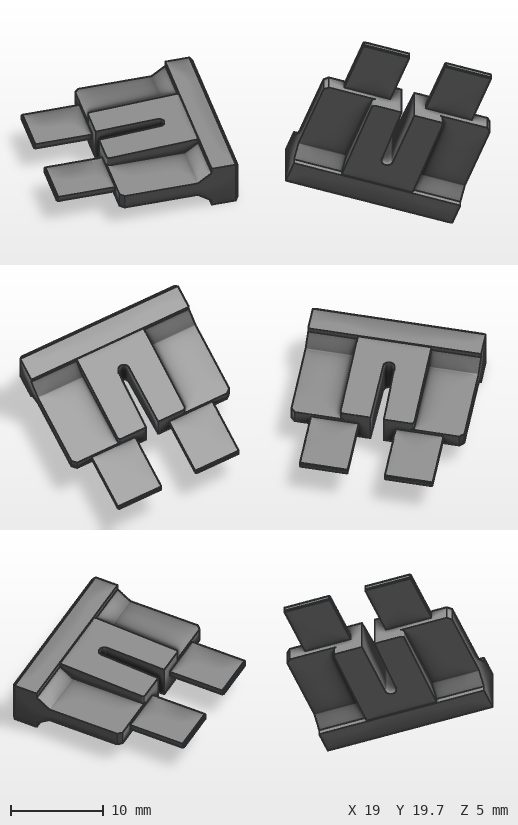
import cadquery as cq

width = 19.0
length = 19.7
thickness = 5.0

cap_front = 16.73
cap_chamfer = 0.3

body_front = 6.52
body_half_thickness = 0.8
ramp_length = 1.54
ramp_half_height = 1.9
ramp_fillet = 0.37
body_corner = 0.45

block_width = 8.08
block_half_back = 2.35
block_half_front = 1.83
block_corner = 0.32

slot_radius = 0.63
slot_half_front = 0.73
slot_end = 14.0

blade_width = 5.25
blade_thickness = 0.61
blade_spacing = 9.32
blade_offset_z = 0.12
tip_chamfer_length = 0.15
tip_chamfer_depth = 0.08
blade_embed = 0.98


def extrude_side_profile(points, profile_width):
    """Extrude a (Y, Z) outline along X, centred on X = 0."""
    return cq.Workplane("YZ").polyline(points).close().extrude(profile_width / 2, both=True)


def make_cap():
    depth = length - cap_front
    cap = cq.Workplane("XY").box(width, depth, thickness).translate((0, cap_front + depth / 2, 0))
    return cap.faces(">Y").chamfer(cap_chamfer)


def make_body():
    ramp_foot = cap_front - ramp_length
    body = extrude_side_profile(
        [
            (body_front, -body_half_thickness),
            (ramp_foot, -body_half_thickness),
            (cap_front, -ramp_half_height),
            (cap_front, ramp_half_height),
            (ramp_foot, body_half_thickness),
            (body_front, body_half_thickness),
        ],
        width,
    )
    for side in (-1, 1):
        foot_point = (0, ramp_foot, side * body_half_thickness)
        body = body.edges(cq.selectors.NearestToPointSelector(foot_point)).fillet(ramp_fillet)
    return body.edges("|Z and <Y").chamfer(body_corner)


def make_block():
    block = extrude_side_profile(
        [
            (body_front, -block_half_front),
            (cap_front, -block_half_back),
            (cap_front, block_half_back),
            (body_front, block_half_front),
        ],
        block_width,
    )
    return block.edges("|Z and <Y").fillet(block_corner)


def make_slot():
    arc_start = slot_end - slot_radius
    return (
        cq.Workplane("XY", origin=(0, 0, -thickness / 2))
        .moveTo(-slot_half_front, body_front)
        .lineTo(-slot_radius, arc_start)
        .threePointArc((0, slot_end), (slot_radius, arc_start))
        .lineTo(slot_half_front, body_front)
        .close()
        .extrude(thickness)
    )


def make_blade(center_x):
    shank_length = body_front + blade_embed - tip_chamfer_length
    shank = (
        cq.Workplane("XZ", origin=(center_x, tip_chamfer_length, blade_offset_z))
        .rect(blade_width, blade_thickness)
        .extrude(-shank_length)
    )
    tip = (
        shank.faces("<Y")
        .workplane(centerOption="CenterOfMass")
        .rect(blade_width, blade_thickness)
        .workplane(offset=tip_chamfer_length)
        .rect(blade_width - 2 * tip_chamfer_depth, blade_thickness - 2 * tip_chamfer_depth)
        .loft(combine=False)
    )
    return shank.union(tip)


result = make_cap().union(make_body()).union(make_block()).cut(make_slot())
for side in (-1, 1):
    result = result.union(make_blade(side * blade_spacing / 2))